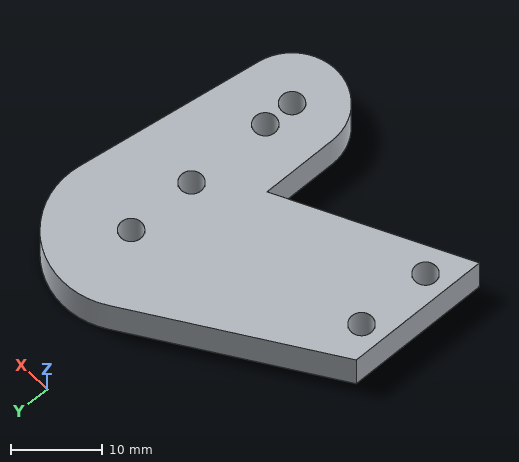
import cadquery as cq
import math

thickness = 5.0
large_radius = 10.0
small_radius = 6.5
lobe_spacing = 24.0

arm_end_x = -29.0
arm_top_y = -6.75
arm_bottom_y = -25.15
inner_corner_y = -14.25

hole_diameter = 3.0
lobe_hole_offsets = [0.0, 9.0, 20.0, lobe_spacing]
arm_hole_edge_distance = 3.0
arm_hole_ys = [-10.3, -19.85]


def on_circle(center_y, radius, angle):
    """Point at an angle on a circle centred on the Y axis."""
    return (radius * math.cos(angle), center_y + radius * math.sin(angle))


def plate():
    """Extruded outline whose sloping sides run tangent to the lobes."""
    right_angle = -math.asin((large_radius - small_radius) / lobe_spacing)
    corner_distance = math.hypot(arm_end_x, arm_top_y)
    corner_angle = math.atan2(arm_top_y, arm_end_x) % math.tau
    arm_angle = corner_angle - math.acos(large_radius / corner_distance)

    small_center_y = -lobe_spacing
    return (
        cq.Workplane("XY")
        .moveTo(arm_end_x, arm_bottom_y)
        .lineTo(arm_end_x, arm_top_y)
        .lineTo(*on_circle(0, large_radius, arm_angle))
        .threePointArc(
            (0, large_radius),
            on_circle(0, large_radius, right_angle),
        )
        .lineTo(*on_circle(small_center_y, small_radius, right_angle))
        .threePointArc((0, small_center_y - small_radius), (-small_radius, small_center_y))
        .lineTo(-small_radius, inner_corner_y)
        .close()
        .extrude(thickness)
    )


def holes():
    """Cylinders for the row through the lobes and the pair in the arm."""
    lobe_points = [(0, -offset) for offset in lobe_hole_offsets]
    arm_points = [(arm_end_x + arm_hole_edge_distance, y) for y in arm_hole_ys]
    return (
        cq.Workplane("XY")
        .pushPoints(lobe_points + arm_points)
        .circle(hole_diameter / 2)
        .extrude(thickness)
    )


result = plate().cut(holes())